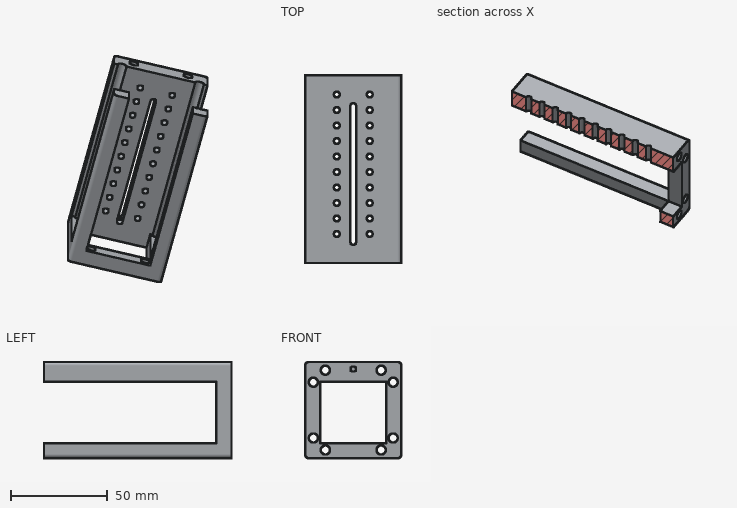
import cadquery as cq

side = 49.8
length = 97.0
corner_radius = 2.0

plate_thickness = 8.0
opening_width = 34.0
top_slab_thickness = 10.3
rail_height = 7.9

mount_diameter = 4.6
mount_near_offset = 14.4
mount_far_offset = 20.6

row_hole_diameter = 2.9
row_spacing = 17.0
row_count = 10
row_pitch = 8.0
row_start = 15.0

slot_width = 2.9
slot_start = 9.5
slot_length = 73.0
front_hole_diameter = 2.8
front_hole_depth_below_top = 3.7

half_side = side / 2
opening_top = half_side - top_slab_thickness
opening_bottom = -half_side + rail_height
opening_height = opening_top - opening_bottom


def box_from(width, start_y, depth, bottom_z, height):
    """Box centred on X, starting at start_y and standing on bottom_z."""
    box = cq.Workplane("XY").box(width, depth, height, centered=(True, False, False))
    return box.translate((0, start_y, bottom_z))


def rod_along_y(x, z, diameter, depth):
    """Cylinder from the front face towards +Y."""
    return cq.Workplane("XZ").center(x, z).circle(diameter / 2).extrude(-depth)


def make_frame():
    open_length = length - plate_thickness
    body = box_from(side, 0, length, -half_side, side)
    body = body.edges("|Y").fillet(corner_radius)
    window = box_from(opening_width, 0, length, opening_bottom, opening_height)
    side_opening = box_from(side, plate_thickness, open_length, opening_bottom, opening_height)
    floor_opening = box_from(opening_width, plate_thickness, open_length, -half_side, rail_height)
    return body.cut(window).cut(side_opening).cut(floor_opening)


def cut_mounting_holes(body):
    corner_pair = [
        (mount_near_offset, mount_far_offset),
        (mount_far_offset, mount_near_offset),
    ]
    for x, z in corner_pair:
        for x_sign in (-1, 1):
            for z_sign in (-1, 1):
                body = body.cut(rod_along_y(x_sign * x, z_sign * z, mount_diameter, length))
    return body


def cut_hole_rows(body):
    centers = [
        (x, row_start + index * row_pitch)
        for x in (-row_spacing / 2, row_spacing / 2)
        for index in range(row_count)
    ]
    holes = (
        cq.Workplane("XY", origin=(0, 0, opening_top))
        .pushPoints(centers)
        .circle(row_hole_diameter / 2)
        .extrude(top_slab_thickness)
    )
    return body.cut(holes)


def cut_slot(body):
    slot = (
        cq.Workplane("XY", origin=(0, slot_start + slot_length / 2, opening_top))
        .slot2D(slot_length, slot_width, 90)
        .extrude(top_slab_thickness)
    )
    return body.cut(slot)


def cut_front_hole(body):
    hole_z = half_side - front_hole_depth_below_top
    depth = slot_start + slot_width / 2
    return body.cut(rod_along_y(0, hole_z, front_hole_diameter, depth))


frame = make_frame()
frame = cut_mounting_holes(frame)
frame = cut_hole_rows(frame)
frame = cut_slot(frame)
result = cut_front_hole(frame)